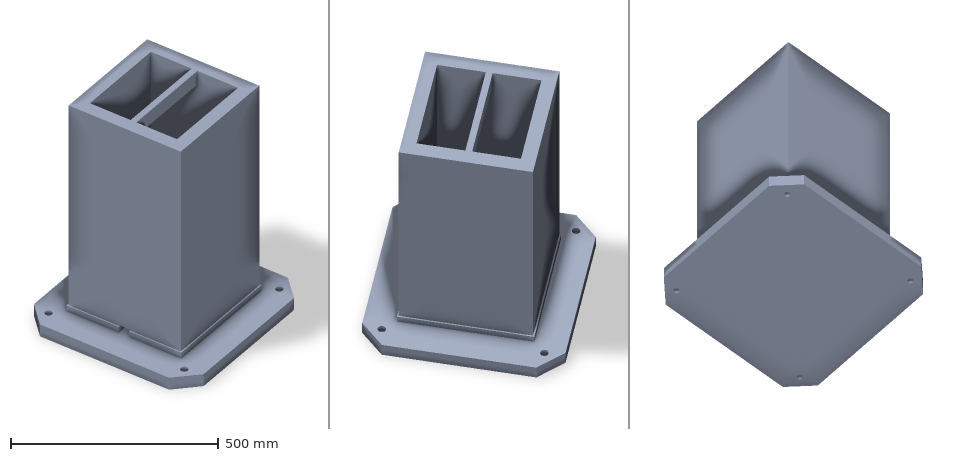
import cadquery as cq

total_height = 650
plate_side = 500.0
plate_thickness = 36.0
corner_chamfer = 60.0
hole_spacing = 400.0
hole_diameter = 14.0
counterbore_diameter = 20.0
counterbore_depth = plate_thickness / 2

post_side = 330.0
cavity_side = 257.0
collar_side = 338
collar_height = 17.5

divider_thickness = 17.0
divider_height = 40.0

drain_width = 30.0
drain_height = 20.0

post_height = total_height - plate_thickness
drain_length = (collar_side - cavity_side) / 2


def make_plate():
    """Square plate with cut corners and four counterbored holes."""
    plate = cq.Workplane("XY").rect(plate_side, plate_side).extrude(plate_thickness)
    plate = plate.edges("|Z").chamfer(corner_chamfer)
    return (
        plate.faces(">Z").workplane()
        .rect(hole_spacing, hole_spacing, forConstruction=True)
        .vertices()
        .cboreHole(hole_diameter, counterbore_diameter, counterbore_depth)
    )


def block_on_plate(width, depth, height):
    """Centred block standing on the top of the plate."""
    floor = cq.Workplane("XY", origin=(0, 0, plate_thickness))
    return floor.rect(width, depth).extrude(height)


def make_post():
    """Open-topped post with its collar, divider and drain slot."""
    post = block_on_plate(post_side, post_side, post_height)
    post = post.union(block_on_plate(collar_side, collar_side, collar_height))
    post = post.cut(block_on_plate(cavity_side, cavity_side, post_height))

    divider = block_on_plate(divider_thickness, cavity_side, divider_height)
    post = post.union(divider.translate((0, 0, post_height - divider_height)))

    drain = block_on_plate(drain_width, drain_length, drain_height)
    drain_center_y = -(collar_side + cavity_side) / 4
    return post.cut(drain.translate((0, drain_center_y, 0)))


result = make_plate().union(make_post())